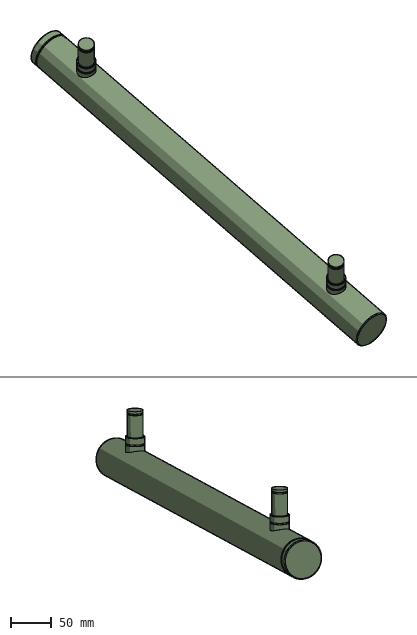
import cadquery as cq

BAR_LENGTH = 601.5
BAR_DIAMETER = 50.0
END_CHAMFER = 1.0
BAR_RADIUS = BAR_DIAMETER / 2

GROOVE_OFFSET = 9.5
GROOVE_WIDTH = 2.0
GROOVE_DEPTH = 0.3

POST_SPACING = 460.0
FIRST_POST_OFFSET = 75.0
TOTAL_HEIGHT = 99.0
STEM_DIAMETER = 20.0
COLLAR_DIAMETER = 24.0
COLLAR_TOP = 66.0
COLLAR_GROOVE_HEIGHT = 56.5
COLLAR_GROOVE_WIDTH = 2.0
COLLAR_GROOVE_DEPTH = 0.5
COLLAR_CHAMFER = 0.5
HEAD_HEIGHT = 4.0
HEAD_GROOVE_WIDTH = 2.0
HEAD_GROOVE_DEPTH = 0.5

POST_POSITIONS = [FIRST_POST_OFFSET, FIRST_POST_OFFSET + POST_SPACING]


def ring(plane, radius, depth, width):
    """Ring to subtract from a cylinder of this radius, leaving a groove."""
    return cq.Workplane(plane).circle(radius + depth).circle(radius - depth).extrude(width)


def make_bar():
    """Round bar with chamfered ends and a groove near one end."""
    bar = cq.Workplane("YZ").center(0, BAR_RADIUS).circle(BAR_RADIUS).extrude(BAR_LENGTH)
    bar = bar.faces("<X or >X").chamfer(END_CHAMFER)
    groove = ring("YZ", BAR_RADIUS, GROOVE_DEPTH, GROOVE_WIDTH)
    return bar.cut(groove.translate((GROOVE_OFFSET, 0, BAR_RADIUS)))


def make_post(x, bar):
    """Collared post whose foot is shaped to sit on the bar."""
    collar = cq.Workplane("XY").workplane(offset=BAR_RADIUS).circle(COLLAR_DIAMETER / 2)
    collar = collar.extrude(COLLAR_TOP - BAR_RADIUS).faces(">Z").chamfer(COLLAR_CHAMFER)
    collar_groove_bottom = COLLAR_GROOVE_HEIGHT - COLLAR_GROOVE_WIDTH / 2
    collar_groove = ring("XY", COLLAR_DIAMETER / 2, COLLAR_GROOVE_DEPTH, COLLAR_GROOVE_WIDTH)
    collar = collar.cut(collar_groove.translate((0, 0, collar_groove_bottom)))

    stem = cq.Workplane("XY").workplane(offset=COLLAR_TOP).circle(STEM_DIAMETER / 2)
    stem = stem.extrude(TOTAL_HEIGHT - COLLAR_TOP)
    head_groove_bottom = TOTAL_HEIGHT - HEAD_HEIGHT - HEAD_GROOVE_WIDTH / 2
    head_groove = ring("XY", STEM_DIAMETER / 2, HEAD_GROOVE_DEPTH, HEAD_GROOVE_WIDTH)
    stem = stem.cut(head_groove.translate((0, 0, head_groove_bottom)))

    return collar.union(stem).translate((x, 0, 0)).cut(bar)


bar = make_bar()
posts = [make_post(x, bar) for x in POST_POSITIONS]

result = cq.Compound.makeCompound([bar.val(), *[post.val() for post in posts]])